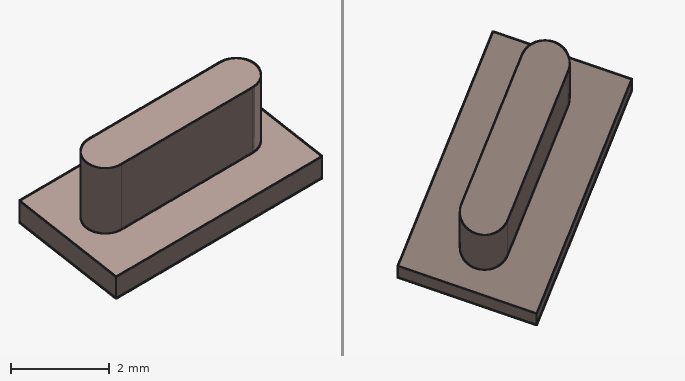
import cadquery as cq

plate_width = 3.0
plate_length = 5.5
plate_thickness = 0.6

total_height = 2.4
key_width = 1.0
key_length = 4.5
key_height = total_height - plate_thickness

plate = cq.Workplane("XY").box(
    plate_width, plate_length, plate_thickness, centered=(True, True, False)
)

result = (
    plate.faces(">Z")
    .workplane()
    .slot2D(key_length, key_width, angle=90)
    .extrude(key_height)
)